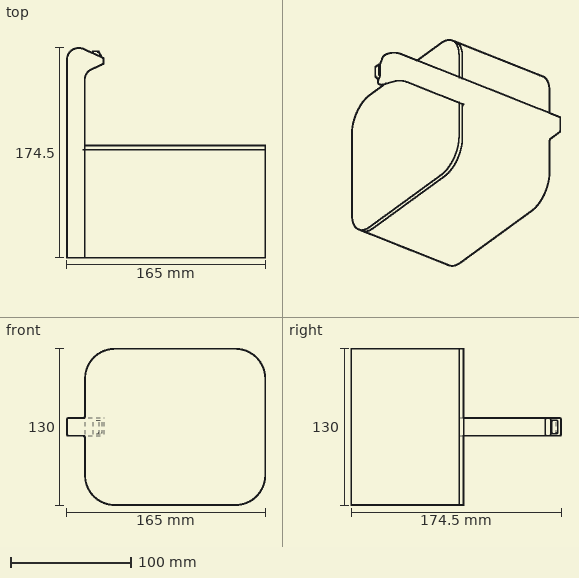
import cadquery as cq
import math

total_width = 165.0
total_depth = 174.5

box_width = 150.0
box_height = 130.0
corner_radius = 25.0
housing_depth = 90.0
lid_thickness = 3.5

arm_thickness = total_width - box_width
arm_height = 15.0
edge_radius = 1.5
edge_tolerance = 0.02

hook_reach = 30.5
hook_tip_width = 4.7
hook_slope = math.radians(25)
hook_outer_radius = 10.0
hook_inner_radius = 9.0

barb_height = 11.2
barb_top_width = 4.7
barb_tip_gap = 1.4
barb_run = 2.8
barb_setback = 2.8

barb_top_y = total_depth - barb_setback
box_left = -box_width / 2
arm_left = box_left - arm_thickness
tip_x = arm_left + hook_reach

slope_cos = math.cos(hook_slope)
slope_sin = math.sin(hook_slope)
slope_tan = math.tan(hook_slope)

outer_center_x = arm_left + hook_outer_radius
outer_center_y = total_depth - hook_outer_radius
slope_start_x = outer_center_x + hook_outer_radius * slope_sin
slope_start_y = outer_center_y + hook_outer_radius * slope_cos
tip_back_y = slope_start_y - (tip_x - slope_start_x) * slope_tan
tip_front_y = tip_back_y - hook_tip_width

inner_corner_y = tip_front_y - (tip_x - box_left) * slope_tan
inner_tangent = hook_inner_radius * math.tan((math.pi / 2 - hook_slope) / 2)
inner_end_x = box_left + inner_tangent * slope_cos
inner_end_y = inner_corner_y + inner_tangent * slope_sin
inner_start_y = inner_corner_y - inner_tangent


def back_slope_y(x):
    """Y of the hook's back slope at a given X."""
    return tip_back_y + (tip_x - x) * slope_tan


def rounded_block(depth):
    """Block with rounded corners, standing from Y = 0 towards +Y."""
    block = cq.Workplane("XZ").rect(box_width, box_height).extrude(-depth)
    return block.edges("|Y").fillet(corner_radius)


def make_arm():
    """Arm with its hook, as a rounded-edge strip of constant height."""
    diagonal = hook_outer_radius * math.sqrt(0.5)
    profile = (
        cq.Workplane("XY", origin=(0, 0, -arm_height / 2))
        .moveTo(box_left, 0)
        .lineTo(arm_left, 0)
        .lineTo(arm_left, outer_center_y)
        .threePointArc(
            (outer_center_x - diagonal, outer_center_y + diagonal),
            (slope_start_x, slope_start_y),
        )
        .lineTo(tip_x, tip_back_y)
        .lineTo(tip_x, tip_front_y)
        .lineTo(inner_end_x, inner_end_y)
        .tangentArcPoint((box_left, inner_start_y), relative=False)
        .close()
    )
    arm = profile.extrude(arm_height)
    face_edges = arm.faces("<Z or >Z").edges()
    long_edges = [
        edge for edge in face_edges.vals()
        if edge.Center().y > edge_tolerance and edge.Center().x < tip_x - edge_tolerance
    ]
    return arm.newObject(long_edges).fillet(edge_radius)


def make_barb():
    """Barb standing on the hook's back slope, with its two outer side edges rounded."""
    foot_x = tip_x - barb_tip_gap
    top_right_x = foot_x - barb_run
    top_left_x = top_right_x - barb_top_width
    barb = (
        cq.Workplane("XY", origin=(0, 0, -barb_height / 2))
        .moveTo(top_left_x, back_slope_y(top_left_x))
        .lineTo(top_left_x, barb_top_y)
        .lineTo(top_right_x, barb_top_y)
        .lineTo(foot_x, back_slope_y(foot_x))
        .close()
        .extrude(barb_height)
    )
    outer_edges = barb.faces("<Z or >Z").edges(">Y or >X")
    return outer_edges.fillet(edge_radius)


def make_root_fillet(side):
    """Concave fillet between the box and the arm, above (side = 1) or below (side = -1) it."""
    root_z = side * arm_height / 2
    arc_middle = edge_radius * (1 - math.sqrt(0.5))
    return (
        cq.Workplane("XZ")
        .moveTo(box_left, root_z)
        .lineTo(box_left, root_z + side * edge_radius)
        .threePointArc(
            (box_left - arc_middle, root_z + side * arc_middle),
            (box_left - edge_radius, root_z),
        )
        .lineTo(box_left - edge_radius, root_z - side * edge_radius)
        .lineTo(box_left, root_z - side * edge_radius)
        .close()
        .extrude(-housing_depth)
    )


def make_housing():
    """Box, hooked arm and barb as one solid."""
    housing = rounded_block(housing_depth).union(make_arm()).union(make_barb())
    for side in (1, -1):
        housing = housing.union(make_root_fillet(side))
    return housing


def make_lid():
    """Flat plate closing the back of the box."""
    return rounded_block(lid_thickness).translate((0, housing_depth, 0))


housing = make_housing()
lid = make_lid()

result = cq.Compound.makeCompound([housing.val(), lid.val()])